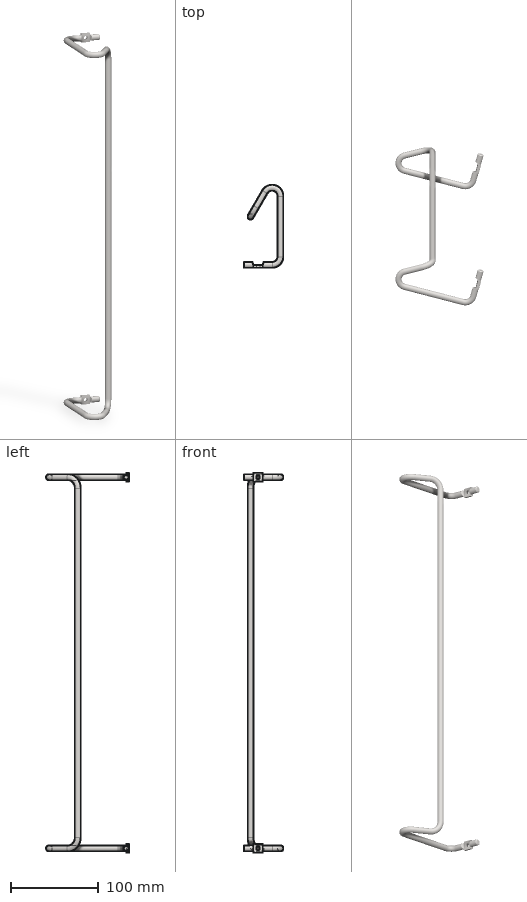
import cadquery as cq
import math

width = 45.5
depth = 95.0
height = 433

rod_diameter = 7.0
rod_radius = rod_diameter / 2
end_chamfer = 1.0
hook_bend_radius = 9.5
hook_turn = 150
leg_straight = 20.0
grip_bend_radius = 12.5

pad_height = 10.5
pad_length = 10.5
pad_thickness = 3.5
pad_shoulder = 1.5
pad_edge_radius = 1.0
pad_distance = 16.5
hole_diameter = 4.5

foot_start_x = -width / 2
foot_y = -depth / 2 + rod_radius
arm_x = width / 2 - rod_radius
hook_z = height / 2 - pad_height / 2

bend_center_x = arm_x - hook_bend_radius
front_center_y = foot_y + hook_bend_radius
back_center_y = depth / 2 - rod_radius - hook_bend_radius

pad_x = foot_start_x + pad_distance
pad_outer_y = foot_y - rod_radius
pad_inner_y = pad_outer_y + pad_thickness


def hook_bend(center_y, start_degrees, end_degrees):
    """Start, middle and end points of a bend in the plane of the hook."""
    points = []
    for degrees in (start_degrees, (start_degrees + end_degrees) / 2, end_degrees):
        angle = math.radians(degrees)
        x = bend_center_x + hook_bend_radius * math.cos(angle)
        y = center_y + hook_bend_radius * math.sin(angle)
        points.append(cq.Vector(x, y, hook_z))
    return points


def rod_path():
    """Centre line of the whole rod, from the upper foot end to the lower one."""
    foot_start = cq.Vector(foot_start_x, foot_y, hook_z)
    front_bend = hook_bend(front_center_y, -90, 0)
    back_bend = hook_bend(back_center_y, 0, hook_turn)

    leg_angle = math.radians(90 + hook_turn)
    along_leg = cq.Vector(math.cos(leg_angle), math.sin(leg_angle), 0)
    down = cq.Vector(0, 0, -1)
    half_turn = math.radians(45)
    leg_end = back_bend[-1] + along_leg * leg_straight
    bend_middle = (
        leg_end
        + along_leg * (grip_bend_radius * math.sin(half_turn))
        + down * (grip_bend_radius * (1 - math.cos(half_turn)))
    )
    grip_top = leg_end + (along_leg + down) * grip_bend_radius
    grip_bottom = cq.Vector(grip_top.x, grip_top.y, -grip_top.z)

    hook = [
        cq.Edge.makeLine(foot_start, front_bend[0]),
        cq.Edge.makeThreePointArc(*front_bend),
        cq.Edge.makeLine(front_bend[-1], back_bend[0]),
        cq.Edge.makeThreePointArc(*back_bend),
        cq.Edge.makeLine(back_bend[-1], leg_end),
        cq.Edge.makeThreePointArc(leg_end, bend_middle, grip_top),
    ]
    grip = cq.Edge.makeLine(grip_top, grip_bottom)
    lower_hook = [edge.mirror("XY") for edge in reversed(hook)]
    return cq.Wire.assembleEdges(hook + [grip] + lower_hook)


def round_rod():
    """Round rod swept along its centre line, chamfered at both foot ends."""
    foot_end = cq.Workplane("YZ", origin=(foot_start_x, foot_y, hook_z))
    rod = foot_end.circle(rod_radius).sweep(cq.Workplane(obj=rod_path()))
    return rod.faces("<X").chamfer(end_chamfer)


def pad_notch():
    """Material pressed out of the foot above the pad, with sloping shoulders."""
    half_length = pad_length / 2
    rod_inner_y = foot_y + rod_radius
    return (
        cq.Workplane("XY", origin=(pad_x, 0, hook_z))
        .moveTo(-half_length, pad_inner_y)
        .lineTo(half_length, pad_inner_y)
        .lineTo(half_length + pad_shoulder, rod_inner_y)
        .lineTo(-half_length - pad_shoulder, rod_inner_y)
        .close()
        .extrude(rod_radius, both=True)
    )


def pad_plate():
    """Flat plate wider than the rod, with its long outer edges rounded."""
    plate = cq.Workplane("XY").box(pad_length, pad_thickness, pad_height)
    plate = plate.edges("|X and <Y").fillet(pad_edge_radius)
    return plate.translate((pad_x, pad_outer_y + pad_thickness / 2, hook_z))


def pad_hole():
    """Mounting hole through the pad, drilled along Y."""
    return (
        cq.Workplane("XZ", origin=(pad_x, pad_inner_y, hook_z))
        .circle(hole_diameter / 2)
        .extrude(pad_thickness)
    )


def on_both_feet(feature):
    """The upper foot's feature together with its mirror image on the lower foot."""
    return feature.add(feature.mirror("XY")).combine()


result = (
    round_rod()
    .cut(on_both_feet(pad_notch()))
    .union(on_both_feet(pad_plate()))
    .cut(on_both_feet(pad_hole()))
)